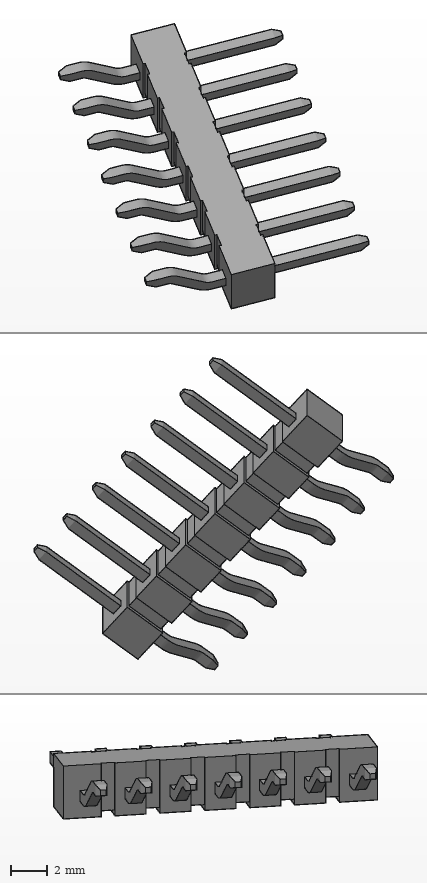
import cadquery as cq
import math

pin_count = 7
housing_length = 17.78
pitch = housing_length / pin_count
housing_depth = pitch
housing_height = 3.05

groove_width = 0.78
side_groove_depth = 0.12
bottom_groove_depth = 0.3

pin_size = 0.64
tip_length = 0.5
tip_end_size = pin_size / 2
back_pin_length = 5.83
overall_depth = 12.95
front_pin_length = overall_depth - housing_depth - back_pin_length

bend_angle = math.radians(36)
bend_start = 0.78
lower_bend_radius = 1.07
upper_bend_radius = 0.75

housing_front = -housing_depth / 2
housing_back = housing_depth / 2
pin_height = housing_depth / 2
raised_pin_height = housing_height - pin_size / 2
front_tip_base = housing_front - front_pin_length + tip_length
back_tip_base = housing_back + back_pin_length - tip_length


def make_housing():
    """Block with grooves on its front, back and bottom between the pins."""
    housing = cq.Workplane("XY").box(
        housing_length, housing_depth, housing_height, centered=(True, True, False)
    )
    for gap in range(1, pin_count):
        groove_x = gap * pitch - housing_length / 2
        bottom_groove = cq.Workplane("XY").box(
            groove_width, housing_depth, bottom_groove_depth, centered=(True, True, False)
        )
        housing = housing.cut(bottom_groove.translate((groove_x, 0, 0)))
        for face_y in (housing_front, housing_back):
            side_groove = cq.Workplane("XY").box(
                groove_width, 2 * side_groove_depth, housing_height, centered=(True, True, False)
            )
            housing = housing.cut(side_groove.translate((groove_x, face_y, 0)))
    return housing


def bend_point(radius, angle):
    """Travel along and across a straight wire after bending through the angle."""
    return radius * math.sin(angle), radius * (1 - math.cos(angle))


def pin_path():
    """Centre line of the wire in the YZ plane, from back tip base to front tip base."""
    lower_run, lower_rise = bend_point(lower_bend_radius, bend_angle)
    lower_mid_run, lower_mid_rise = bend_point(lower_bend_radius, bend_angle / 2)
    upper_run, upper_rise = bend_point(upper_bend_radius, bend_angle)
    upper_mid_run, upper_mid_rise = bend_point(upper_bend_radius, bend_angle / 2)
    slope_rise = raised_pin_height - pin_height - lower_rise - upper_rise
    slope_run = slope_rise / math.tan(bend_angle)

    lower_start_y = housing_front - bend_start
    slope_start_y = lower_start_y - lower_run
    slope_end_y = slope_start_y - slope_run
    upper_end_y = slope_end_y - upper_run
    return (
        cq.Workplane("YZ")
        .moveTo(back_tip_base, pin_height)
        .lineTo(lower_start_y, pin_height)
        .threePointArc(
            (lower_start_y - lower_mid_run, pin_height + lower_mid_rise),
            (slope_start_y, pin_height + lower_rise),
        )
        .lineTo(slope_end_y, raised_pin_height - upper_rise)
        .threePointArc(
            (upper_end_y + upper_mid_run, raised_pin_height - upper_mid_rise),
            (upper_end_y, raised_pin_height),
        )
        .lineTo(front_tip_base, raised_pin_height)
    )


def make_tip(base_y, height, direction):
    """Square taper along Y, pointing to the back (+1) or to the front (-1)."""
    base = cq.Plane(origin=(0, base_y, height), xDir=(1, 0, 0), normal=(0, direction, 0))
    return (
        cq.Workplane(base)
        .rect(pin_size, pin_size)
        .workplane(offset=tip_length)
        .rect(tip_end_size, tip_end_size)
        .loft(ruled=True)
    )


def make_pin():
    """One bent pin at X = 0 with a tapered tip at each end."""
    wire_end = cq.Workplane("XZ", origin=(0, back_tip_base, pin_height))
    wire = wire_end.rect(pin_size, pin_size).sweep(pin_path())
    back_tip = make_tip(back_tip_base, pin_height, 1)
    front_tip = make_tip(front_tip_base, raised_pin_height, -1)
    return wire.union(back_tip).union(front_tip)


result = make_housing()
pin = make_pin()
for index in range(pin_count):
    pin_x = (index - (pin_count - 1) / 2) * pitch
    result = result.union(pin.translate((pin_x, 0, 0)))